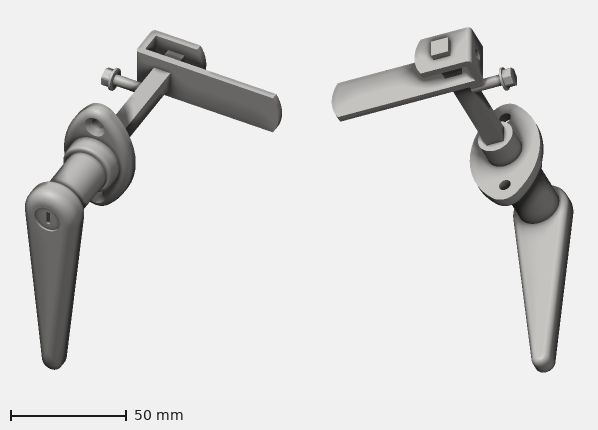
import cadquery as cq
import math


FLANGE_HALF_WIDTH = 16.4
FLANGE_HALF_HEIGHT = 27.0
FLANGE_TIP_RADIUS = 8.0
FLANGE_THICKNESS = 6.85
FLANGE_RIM_RADIUS = 3.5
SCREW_HOLE_OFFSET = FLANGE_HALF_HEIGHT - FLANGE_TIP_RADIUS
SCREW_HOLE_DIAMETER = 5.4
COUNTERSINK_DIAMETER = 9.8
COUNTERSINK_ANGLE = 90.0

COLLAR_RADIUS = 8.1
COLLAR_LENGTH = 11.0
BOSS_BASE_RADIUS = 12.4
BOSS_FRONT_RADIUS = 11.9
BOSS_FRONT_Y = -14.3
BOSS_EDGE_RADIUS = 1.3
NECK_RADIUS = 9.55
SPINDLE_SIDE = 8.0
SPINDLE_END_Y = 75.0

LEVER_BACK_Y = -38.9
LEVER_FRONT_Y = -50.98
LEVER_LENGTH = 88.85
HEAD_RADIUS = 12.9
TIP_RADIUS = 4.35
FRONT_RIM_RADIUS = 5.2
BACK_RIM_RADIUS = 2.8
TIP_CENTER_Z = TIP_RADIUS - LEVER_LENGTH

LOCK_DIAMETER = 12.5
LOCK_DEPTH = 1.0
KEY_SLOT_WIDTH = 1.9
KEY_SLOT_HEIGHT = 6.4
KEY_SLOT_DEPTH = 1.5

CAM_HEIGHT = 19.4
CAM_THICKNESS = 3.2
CAM_FRONT_Y = 55.55
CAM_BACK_Y = 71.9
CAM_LEFT_X = -13.2
LONG_ARM_END_X = 56.85
SHORT_ARM_END_X = 12.9
ARM_END_RADIUS = 18.0
CAM_BEND_RADIUS = 2.0
CAM_HOLE_DIAMETER = 5.2

SCREW_Y = 47.6
SCREW_Z = -2.8
SCREW_HEAD_X = -23.62
SCREW_HEAD_LENGTH = 3.95
HEX_ACROSS_FLATS = 7.5
HEX_CORNER_DIAMETER = 8.2
WASHER_DIAMETER = 10.2
WASHER_THICKNESS = 1.0
SHANK_DIAMETER = 4.9
SHANK_END_X = -SPINDLE_SIDE / 2


def disc(radius, back_y, front_y):
    """Cylinder on the lock axis between two Y positions."""
    return cq.Workplane("XZ", origin=(0, back_y, 0)).circle(radius).extrude(back_y - front_y)


def make_flange():
    """Oval plate bounded by two large side arcs that run smoothly into two small tip arcs."""
    tip_gap = FLANGE_HALF_WIDTH - FLANGE_TIP_RADIUS
    side_radius = (SCREW_HOLE_OFFSET**2 + tip_gap**2) / (2 * tip_gap) + FLANGE_TIP_RADIUS
    tangent_angle = math.asin(SCREW_HOLE_OFFSET / (side_radius - FLANGE_TIP_RADIUS))
    tangent_x = FLANGE_TIP_RADIUS * math.cos(tangent_angle)
    tangent_z = SCREW_HOLE_OFFSET + FLANGE_TIP_RADIUS * math.sin(tangent_angle)
    plate = (
        cq.Workplane("XZ")
        .moveTo(tangent_x, -tangent_z)
        .threePointArc((FLANGE_HALF_WIDTH, 0), (tangent_x, tangent_z))
        .threePointArc((0, FLANGE_HALF_HEIGHT), (-tangent_x, tangent_z))
        .threePointArc((-FLANGE_HALF_WIDTH, 0), (-tangent_x, -tangent_z))
        .threePointArc((0, -FLANGE_HALF_HEIGHT), (tangent_x, -tangent_z))
        .close()
        .extrude(FLANGE_THICKNESS)
        .faces("<Y")
        .edges()
        .fillet(FLANGE_RIM_RADIUS)
    )
    return (
        plate.faces("<Y")
        .workplane(origin=(0, 0, 0))
        .pushPoints([(0, SCREW_HOLE_OFFSET), (0, -SCREW_HOLE_OFFSET)])
        .cskHole(SCREW_HOLE_DIAMETER, COUNTERSINK_DIAMETER, COUNTERSINK_ANGLE)
    )


def make_boss():
    """Slightly tapered round boss in front of the flange, with a rounded front edge."""
    return (
        cq.Workplane("XY")
        .lineTo(BOSS_BASE_RADIUS, 0)
        .lineTo(BOSS_BASE_RADIUS, -FLANGE_THICKNESS)
        .lineTo(BOSS_FRONT_RADIUS, BOSS_FRONT_Y)
        .lineTo(0, BOSS_FRONT_Y)
        .close()
        .revolve(360, (0, 0), (0, 1))
        .faces("<Y")
        .edges()
        .fillet(BOSS_EDGE_RADIUS)
    )


def make_lever():
    """Tapered bar whose straight sides are tangent to the round head and the round tip."""
    taper_angle = math.asin((HEAD_RADIUS - TIP_RADIUS) / -TIP_CENTER_Z)
    head_x = HEAD_RADIUS * math.cos(taper_angle)
    head_z = -HEAD_RADIUS * math.sin(taper_angle)
    tip_x = TIP_RADIUS * math.cos(taper_angle)
    tip_z = TIP_CENTER_Z - TIP_RADIUS * math.sin(taper_angle)
    lever = (
        cq.Workplane("XZ", origin=(0, LEVER_BACK_Y, 0))
        .moveTo(head_x, head_z)
        .lineTo(tip_x, tip_z)
        .threePointArc((0, -LEVER_LENGTH), (-tip_x, tip_z))
        .lineTo(-head_x, head_z)
        .threePointArc((0, HEAD_RADIUS), (head_x, head_z))
        .close()
        .extrude(LEVER_BACK_Y - LEVER_FRONT_Y)
    )
    lever = lever.faces("<Y").edges().fillet(FRONT_RIM_RADIUS)
    return lever.faces(">Y").edges().fillet(BACK_RIM_RADIUS)


def make_lock_recess():
    """Round recess with a key slot in its floor."""
    recess_floor = LEVER_FRONT_Y + LOCK_DEPTH
    recess = disc(LOCK_DIAMETER / 2, recess_floor, LEVER_FRONT_Y)
    key_slot = (
        cq.Workplane("XZ", origin=(0, recess_floor + KEY_SLOT_DEPTH, 0))
        .rect(KEY_SLOT_WIDTH, KEY_SLOT_HEIGHT)
        .extrude(KEY_SLOT_DEPTH)
    )
    return recess.union(key_slot)


def make_spindle():
    """Square bar from the flange to its free end; it also sizes the holes through the cam."""
    return cq.Workplane("XZ").rect(SPINDLE_SIDE, SPINDLE_SIDE).extrude(-SPINDLE_END_Y)


def make_handle():
    handle = make_flange().union(make_boss())
    handle = handle.union(disc(COLLAR_RADIUS, COLLAR_LENGTH, 0)).union(make_spindle())
    handle = handle.union(disc(NECK_RADIUS, BOSS_FRONT_Y, LEVER_BACK_Y))
    return handle.union(make_lever()).cut(make_lock_recess())


def make_cam_arm(end_x, front_y):
    """Flat arm from the web of the cam to a shallow round end."""
    half_height = CAM_HEIGHT / 2
    corner_x = end_x - ARM_END_RADIUS + math.sqrt(ARM_END_RADIUS**2 - half_height**2)
    return (
        cq.Workplane("XZ", origin=(0, front_y + CAM_THICKNESS, 0))
        .moveTo(CAM_LEFT_X, -half_height)
        .lineTo(corner_x, -half_height)
        .threePointArc((end_x, 0), (corner_x, half_height))
        .lineTo(CAM_LEFT_X, half_height)
        .close()
        .extrude(CAM_THICKNESS)
    )


def make_cam():
    cam_depth = CAM_BACK_Y - CAM_FRONT_Y
    web_center_y = (CAM_FRONT_Y + CAM_BACK_Y) / 2
    web = cq.Workplane("XY").box(CAM_THICKNESS, cam_depth, CAM_HEIGHT)
    web = web.translate((CAM_LEFT_X + CAM_THICKNESS / 2, web_center_y, 0))
    cam = web.union(make_cam_arm(LONG_ARM_END_X, CAM_FRONT_Y))
    cam = cam.union(make_cam_arm(SHORT_ARM_END_X, CAM_BACK_Y - CAM_THICKNESS))
    cam = cam.faces("<X").edges("|Z").fillet(CAM_BEND_RADIUS)
    screw_hole = (
        cq.Workplane("YZ", origin=(CAM_LEFT_X, web_center_y, 0))
        .circle(CAM_HOLE_DIAMETER / 2)
        .extrude(CAM_THICKNESS)
    )
    return cam.cut(screw_hole).cut(make_spindle())


def make_screw():
    washer_x = SCREW_HEAD_X + SCREW_HEAD_LENGTH
    shank_x = washer_x + WASHER_THICKNESS

    def screw_plane(x):
        return cq.Workplane("YZ", origin=(x, SCREW_Y, SCREW_Z))

    hex_diameter = HEX_ACROSS_FLATS / math.cos(math.radians(30))
    hexagon = screw_plane(SCREW_HEAD_X).transformed(rotate=(0, 0, 90)).polygon(6, hex_diameter)
    corner_limit = screw_plane(SCREW_HEAD_X).circle(HEX_CORNER_DIAMETER / 2).extrude(SCREW_HEAD_LENGTH)
    head = hexagon.extrude(SCREW_HEAD_LENGTH).intersect(corner_limit)
    washer = screw_plane(washer_x).circle(WASHER_DIAMETER / 2).extrude(WASHER_THICKNESS)
    shank = screw_plane(shank_x).circle(SHANK_DIAMETER / 2).extrude(SHANK_END_X - shank_x)
    return head.union(washer).union(shank)


handle = make_handle()
cam = make_cam()
screw = make_screw()

result = cq.Compound.makeCompound([handle.solids().val(), cam.solids().val(), screw.solids().val()])